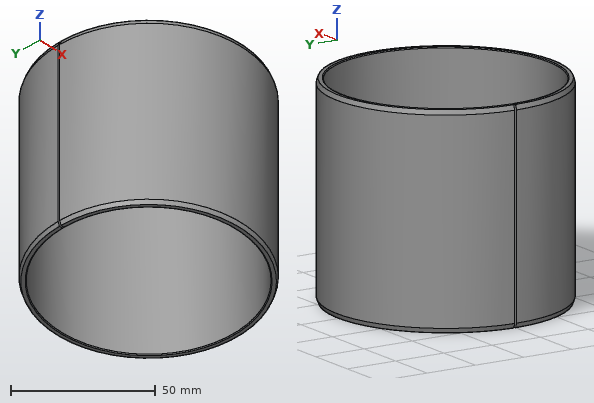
import cadquery as cq
import math

outer_diameter = 90.0
wall = 2.5
length = 80.0
outer_chamfer_length = 1.8
outer_chamfer_angle = 20.0
inner_chamfer = 0.4
seam_angle = 1.0

outer_radius = outer_diameter / 2
inner_radius = outer_radius - wall
outer_chamfer_depth = outer_chamfer_length * math.tan(math.radians(outer_chamfer_angle))


def make_sleeve():
    """Revolve the wall section, with both ends chamfered, about Z up to the seam."""
    half_length = length / 2
    section = [
        (inner_radius, -half_length + inner_chamfer),
        (inner_radius + inner_chamfer, -half_length),
        (outer_radius - outer_chamfer_depth, -half_length),
        (outer_radius, -half_length + outer_chamfer_length),
        (outer_radius, half_length - outer_chamfer_length),
        (outer_radius - outer_chamfer_depth, half_length),
        (inner_radius + inner_chamfer, half_length),
        (inner_radius, half_length - inner_chamfer),
    ]
    return cq.Workplane("XZ").polyline(section).close().revolve(360 - seam_angle, (0, 0), (0, 1))


result = make_sleeve().rotate((0, 0, 0), (0, 0, 1), 180)